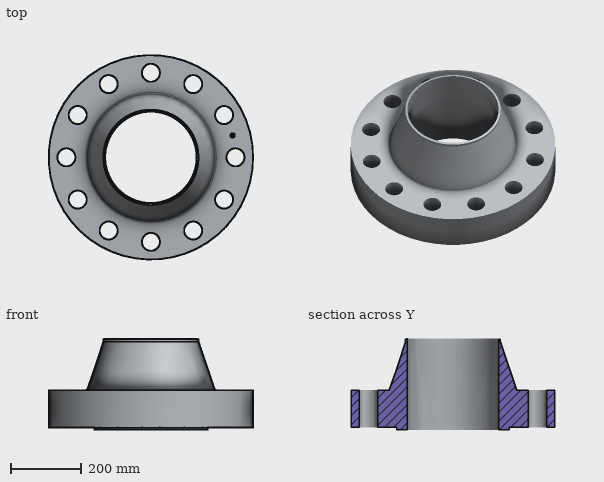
import cadquery as cq

flange_diameter = 584.0
flange_thickness = 107.5

raised_face_diameter = 323.5
raised_face_height = 6.5

overall_height = 260.5
bore_diameter = 260.5
neck_base_diameter = 365.5
neck_top_diameter = 273.0
neck_collar_height = 9.5
weld_bevel_width = 4.5
weld_bevel_height = 2.0
neck_fillet_radius = 4.5

bolt_count = 12
bolt_hole_diameter = 51.0
bolt_circle_diameter = 482.5

small_hole_diameter = 13.0
small_hole_depth = 13.0
pilot_diameter = 4.5
pilot_depth = 2 * small_hole_depth
small_hole_angle = 180 / bolt_count

flange_top = raised_face_height + flange_thickness


def make_flange():
    face = cq.Workplane("XY").circle(raised_face_diameter / 2).extrude(raised_face_height)
    plate = (
        cq.Workplane("XY")
        .workplane(offset=raised_face_height)
        .circle(flange_diameter / 2)
        .extrude(flange_thickness)
    )
    return plate.union(face)


def make_neck():
    base_radius = neck_base_diameter / 2
    top_radius = neck_top_diameter / 2
    return (
        cq.Workplane("XZ")
        .moveTo(0, raised_face_height)
        .lineTo(base_radius, raised_face_height)
        .lineTo(base_radius, flange_top)
        .lineTo(top_radius, overall_height - neck_collar_height)
        .lineTo(top_radius, overall_height - weld_bevel_height)
        .lineTo(top_radius - weld_bevel_width, overall_height)
        .lineTo(0, overall_height)
        .close()
        .revolve(360, (0, 0, 0), (0, 1, 0))
    )


def neck_root_edge(body):
    flange_top_face = body.faces(">Z[-2]")
    return flange_top_face.edges(cq.selectors.RadiusNthSelector(0))


def make_bolt_holes():
    return (
        cq.Workplane("XY")
        .polarArray(bolt_circle_diameter / 2, 0, 360, bolt_count)
        .circle(bolt_hole_diameter / 2)
        .extrude(overall_height)
    )


def make_small_hole():
    top = cq.Workplane("XY").workplane(offset=flange_top)
    wide_step = top.circle(small_hole_diameter / 2).extrude(-small_hole_depth)
    pilot = top.circle(pilot_diameter / 2).extrude(-pilot_depth)
    return (
        wide_step.union(pilot)
        .translate((bolt_circle_diameter / 2, 0, 0))
        .rotate((0, 0, 0), (0, 0, 1), small_hole_angle)
    )


body = make_flange().union(make_neck())
body = neck_root_edge(body).fillet(neck_fillet_radius)
bore = cq.Workplane("XY").circle(bore_diameter / 2).extrude(overall_height)
result = body.cut(bore).cut(make_bolt_holes()).cut(make_small_hole())